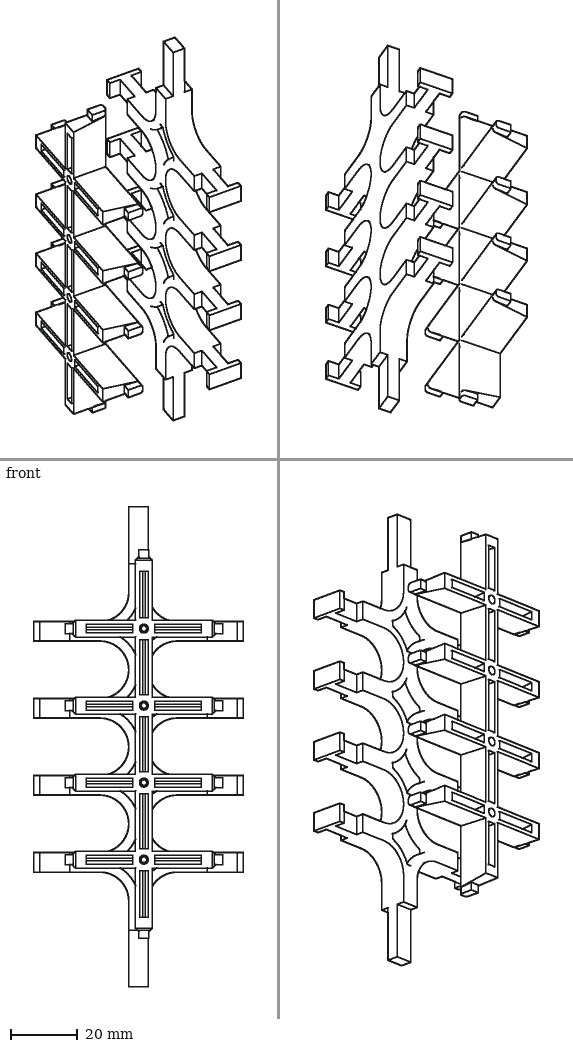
import cadquery as cq
import math

node_count = 4
node_pitch = 23.0
node_heights = [(i - (node_count - 1) / 2) * node_pitch for i in range(node_count)]
top_node = node_heights[-1]
tolerance = 0.001

frame_depth = 9.1
frame_bar_width = 5.9
frame_fillet_radius = (node_pitch - frame_bar_width) / 2
arm_shoulder_x = 20.5
spine_shoulder_overhang = 20.2
spine_shoulder_z = top_node + spine_shoulder_overhang
frame_width = 62.6
frame_height = 143.4
tongue_depth = 3.9
flange_thickness = 1.8
flange_depth = 10.8

pocket_rim_width = 2.0
pocket_reach = 8.1
pocket_depth = 3.0
pocket_rim_radius = 1.0
pocket_corner_radius = 0.5

overall_depth = 42.1
grid_depth = 12.0
grid_x = 1.6
grid_z = 0.8
grid_front_y = flange_depth / 2 - overall_depth
grid_back_y = grid_front_y + grid_depth
bar_front_width = 5.1
side_draft = 5.0
end_draft = 5.0
bar_overhang = 20.4
back_radius = 1.0
tab_width = 3.0
tab_depth = 5.0
tab_length = 3.1

slot_width = 2.6
slot_depth = 10.5
slot_draft = 5.0
hole_diameter = slot_width
hole_depth = 5.0
slot_node_gap = 3.3
slot_end_gap = 3.2


def front_plane(y, z=0):
    """Sketch plane with local X, Y along world X, Z; positive extrusion goes toward -Y."""
    return cq.Workplane(cq.Plane(origin=(0, y, z), xDir=(1, 0, 0), normal=(0, -1, 0)))


def block(size_x, size_y, size_z, z=0):
    """Box centred on the Z axis at height z."""
    return cq.Workplane("XY").box(size_x, size_y, size_z).translate((0, 0, z))


def corner_web(z):
    """Square around a crossing with a quarter round scooped out of each corner."""
    web = block(node_pitch, frame_depth, node_pitch, z)
    half = node_pitch / 2
    scoops = (
        front_plane(frame_depth / 2)
        .pushPoints([(sx * half, z + sz * half) for sx in (-1, 1) for sz in (-1, 1)])
        .circle(frame_fillet_radius)
        .extrude(frame_depth)
    )
    return web.cut(scoops)


def frame_arms(z):
    """Left and right arms of one crossing: thick root, thin tongue and end flange."""
    arms = block(2 * arm_shoulder_x, frame_depth, frame_bar_width, z)
    arms = arms.union(block(frame_width, tongue_depth, frame_bar_width, z))
    flange_offset = (frame_width - flange_thickness) / 2
    for side in (-1, 1):
        flange = block(flange_thickness, flange_depth, frame_bar_width, z)
        arms = arms.union(flange.translate((side * flange_offset, 0, 0)))
    return arms


def pocket(z):
    """Well with walls concentric with the corner scoops and flat tips toward the arms and the spine."""
    centre = node_pitch / 2
    radius = frame_fillet_radius + pocket_rim_width + pocket_rim_radius
    reach = pocket_reach - pocket_rim_radius
    tip = centre - math.sqrt(radius**2 - (centre - reach) ** 2)
    waist = centre - radius / math.sqrt(2)
    return (
        front_plane(-frame_depth / 2, z=z)
        .moveTo(reach, -tip)
        .lineTo(reach, tip)
        .threePointArc((waist, waist), (tip, reach))
        .lineTo(-tip, reach)
        .threePointArc((-waist, waist), (-reach, tip))
        .lineTo(-reach, -tip)
        .threePointArc((-waist, -waist), (-tip, -reach))
        .lineTo(tip, -reach)
        .threePointArc((waist, -waist), (reach, -tip))
        .close()
        .extrude(-pocket_depth)
        .edges("|Y")
        .fillet(pocket_corner_radius)
    )


def is_pocket_rim(edge, z):
    """True for the front-face edges close enough to the crossing to bound its pocket."""
    centre = edge.Center()
    box = edge.BoundingBox()
    on_front_face = abs(centre.y + frame_depth / 2) < tolerance and box.ylen < tolerance
    return on_front_face and math.hypot(centre.x, centre.z - z) < pocket_reach


def make_frame():
    frame = block(frame_bar_width, frame_depth, 2 * spine_shoulder_z)
    frame = frame.union(block(frame_bar_width, tongue_depth, frame_height))
    for z in node_heights:
        frame = frame.union(corner_web(z)).union(frame_arms(z))
    for z in node_heights:
        frame = frame.cut(pocket(z))
        rim = frame.edges().filter(lambda edge, z=z: is_pocket_rim(edge, z))
        frame = rim.fillet(pocket_rim_radius)
    return frame


def grid_bar(half_length):
    """Bar along X centred on x = z = 0: sides narrow and ends spread toward the back."""
    front_half = bar_front_width / 2
    back_half = front_half - grid_depth * math.tan(math.radians(side_draft))
    end_spread = grid_depth * math.tan(math.radians(end_draft))
    tab_end = half_length + tab_length

    section = [
        (grid_front_y, -front_half),
        (grid_front_y, front_half),
        (grid_back_y, back_half),
        (grid_back_y, -back_half),
    ]
    bar = cq.Workplane("YZ").polyline(section).close().extrude(tab_end, both=True)
    bar = bar.edges("|X and >Y").fillet(back_radius)

    plan = [
        (-half_length, grid_front_y),
        (half_length, grid_front_y),
        (half_length + end_spread, grid_back_y),
        (-half_length - end_spread, grid_back_y),
    ]
    bar = bar.intersect(cq.Workplane("XY").polyline(plan).close().extrude(bar_front_width, both=True))

    tabs = block(2 * tab_end, tab_depth, tab_width).translate((0, grid_back_y - tab_depth / 2, 0))
    tabs = tabs.edges("|X and >Y").fillet(back_radius)
    return bar.union(tabs)


def tapered_slot(start, end):
    """Slot along X from start to end, with sides closing toward its floor."""
    mouth_half = slot_width / 2
    floor_half = mouth_half - slot_depth * math.tan(math.radians(slot_draft))
    floor_y = grid_front_y + slot_depth
    section = [
        (grid_front_y, -mouth_half),
        (grid_front_y, mouth_half),
        (floor_y, floor_half),
        (floor_y, -floor_half),
    ]
    slot = cq.Workplane("YZ").polyline(section).close().extrude(end - start)
    return slot.translate((start, 0, 0))


def upright(shape):
    """Turn a shape lying along X so that it stands along Z."""
    return shape.rotate((0, 0, 0), (0, 1, 0), -90)


def make_grid():
    column_half = top_node + bar_overhang
    grid = upright(grid_bar(column_half))
    for z in node_heights:
        grid = grid.union(grid_bar(bar_overhang).translate((0, 0, z)))

    row_slot_end = bar_overhang - slot_end_gap
    for z in node_heights:
        for start, end in ((-row_slot_end, -slot_node_gap), (slot_node_gap, row_slot_end)):
            grid = grid.cut(tapered_slot(start, end).translate((0, 0, z)))
        hole = front_plane(grid_front_y, z=z).circle(hole_diameter / 2)
        hole = hole.extrude(-hole_depth, taper=slot_draft)
        grid = grid.cut(hole)

    slot_starts = [slot_end_gap - column_half] + [z + slot_node_gap for z in node_heights]
    slot_ends = [z - slot_node_gap for z in node_heights] + [column_half - slot_end_gap]
    for start, end in zip(slot_starts, slot_ends):
        grid = grid.cut(upright(tapered_slot(start, end)))
    return grid.translate((grid_x, 0, grid_z))


frame = make_frame()
grid = make_grid()
result = cq.Compound.makeCompound([*frame.solids().vals(), *grid.solids().vals()])